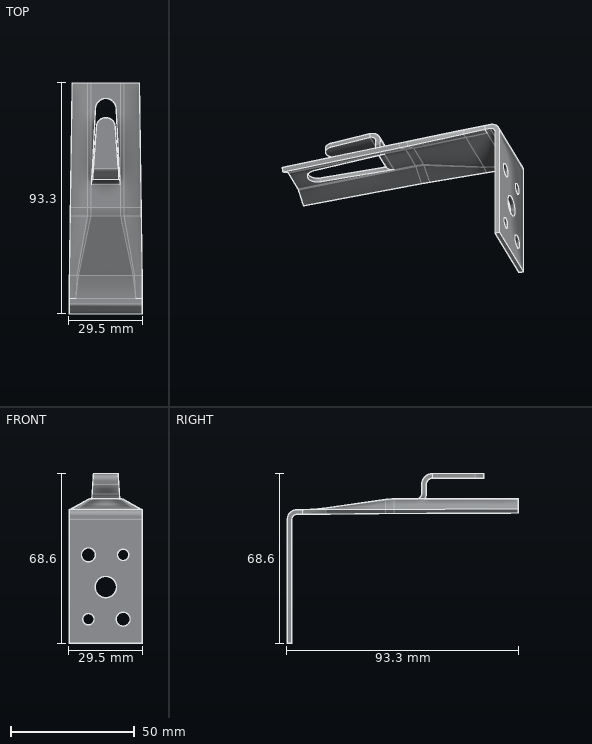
import cadquery as cq
import math

sheet = 2.0
length = 93.3
height = 68.6
width = 29.5

plate_top = 54.0
bend_radius = 4.0
hole_x = 7.0
hole_row_z = 22.8
hole_row_step = 13.0
center_hole = 8.5
large_hole = 5.5
small_hole = 4.5

rib_top = 58.4
end_half_width = 13.6
end_edge_z = 54.2
flat_edge_sag = 0.02
rib_fold_radius = 3.0
rib_corner_half = 6.7
ramp_low_corner_half = 11.3
flat_corner_half = 12.1
flat_start = 6.25
ramp_low = 15.7
ramp_high = 39.65
rib_start = 43.1

tongue_foot = 52.2
tongue_foot_half = 5.7
tongue_tip_radius = 3.8
tongue_tip = 79.3
tongue_head_half = 5.0
slot_end_radius = 4.1
foot_bend_radius = sheet
head_bend_radius = 4.5
slot_end = 86.9


def ramp_height(y):
    """Height of the rib's top: flat, arc, sloping line, arc, flat."""
    slope = (rib_top - plate_top) / ((ramp_high + rib_start) / 2 - (flat_start + ramp_low) / 2)
    half_slope = slope / 2
    if y <= ramp_low:
        return plate_top + half_slope * (y - flat_start) ** 2 / (ramp_low - flat_start)
    if y >= ramp_high:
        return rib_top - half_slope * max(rib_start - y, 0) ** 2 / (rib_start - ramp_high)
    return plate_top + half_slope * (ramp_low - flat_start) + slope * (y - ramp_low)


def edge_position(y):
    """Half width and height of the arm's outer upper edge."""
    widening = min((length - y) / (length - ramp_low), 1)
    half = end_half_width + widening * (width / 2 - end_half_width)
    flat_edge_z = plate_top - flat_edge_sag
    lowering = (length - y) / (length - flat_start)
    return half, end_edge_z + lowering * (flat_edge_z - end_edge_z)


def arm_section(y, corner_half, top):
    """Closed outline across the arm: a flat top with a folded flank on either side."""
    edge_half, edge_z = edge_position(y)
    angle = math.atan2(top - edge_z, edge_half - corner_half)
    setback = rib_fold_radius * math.tan(angle / 2)
    fold_x = corner_half - setback
    fold_z = top - rib_fold_radius

    def skin(side, depth):
        """Edge, then end, middle and start of the fold, on one flank of one face of the sheet."""
        radius = rib_fold_radius - depth
        turns = (angle, angle / 2, 0)
        fold = [(fold_x + radius * math.sin(turn), fold_z + radius * math.cos(turn)) for turn in turns]
        edge = (edge_half - depth * math.sin(angle), edge_z - depth * math.cos(angle))
        return [cq.Vector(side * x, y, z) for x, z in (edge, *fold)]

    def folded_flank(points):
        edge, fold_end, fold_middle, fold_start = points
        flank = cq.Edge.makeLine(edge, fold_end)
        return [flank, cq.Edge.makeThreePointArc(fold_end, fold_middle, fold_start)]

    corners = {(side, depth): skin(side, depth) for side in (-1, 1) for depth in (0, sheet)}
    edges = [edge for points in corners.values() for edge in folded_flank(points)]
    for depth in (0, sheet):
        edges.append(cq.Edge.makeLine(corners[-1, depth][-1], corners[1, depth][-1]))
    for side in (-1, 1):
        edges.append(cq.Edge.makeLine(corners[side, 0][0], corners[side, sheet][0]))
    return cq.Wire.assembleEdges(edges)


def fold_corner(y):
    """Half width where rib top and flank would meet, growing as the rib runs out."""
    if y >= ramp_high:
        return rib_corner_half
    if y >= ramp_low:
        blend = (y - ramp_low) / (ramp_high - ramp_low)
        return ramp_low_corner_half + blend * (rib_corner_half - ramp_low_corner_half)
    blend = (y - flat_start) / (ramp_low - flat_start)
    return flat_corner_half + blend * (ramp_low_corner_half - flat_corner_half)


def make_arm():
    """Ribbed arm: straight rib, sloping run-out, and gentle bends on either side of the slope."""
    low_bend = (flat_start, (flat_start + ramp_low) / 2, ramp_low)
    high_bend = (ramp_high, (ramp_high + rib_start) / 2, rib_start)
    arm = cq.Workplane()
    for stations in (low_bend, (ramp_low, ramp_high), high_bend, (rib_start, length)):
        sections = [arm_section(y, fold_corner(y), ramp_height(y)) for y in stations]
        is_straight = len(stations) == 2
        arm = arm.add(cq.Solid.makeLoft(sections, is_straight))
    return arm.combine()


def make_plate():
    """Upright plate bent over into the flat start of the arm."""
    bend_z = plate_top - bend_radius
    plate = (
        cq.Workplane("YZ")
        .moveTo(0, 0)
        .lineTo(0, bend_z)
        .radiusArc((bend_radius, plate_top), bend_radius)
        .lineTo(flat_start, plate_top)
        .lineTo(flat_start, plate_top - sheet)
        .lineTo(bend_radius, plate_top - sheet)
        .radiusArc((sheet, bend_z), sheet - bend_radius)
        .lineTo(sheet, 0)
        .close()
        .extrude(width / 2, both=True)
    )
    low_row = hole_row_z - hole_row_step
    high_row = hole_row_z + hole_row_step
    holes = (
        (0, hole_row_z, center_hole),
        (-hole_x, high_row, large_hole),
        (hole_x, low_row, large_hole),
        (hole_x, high_row, small_hole),
        (-hole_x, low_row, small_hole),
    )
    for x, z, diameter in holes:
        drill = cq.Workplane("XZ").center(x, z).circle(diameter / 2).extrude(-sheet)
        plate = plate.cut(drill)
    return plate


def rounded_taper(start, start_half, end, end_radius):
    """Plan outline on the middle line, narrowing in +Y to a tangent round end."""
    center_y = end - end_radius
    run = center_y - start
    lean = math.atan2(start_half, run) - math.asin(end_radius / math.hypot(start_half, run))
    touch_x = end_radius * math.cos(lean)
    touch_y = center_y + end_radius * math.sin(lean)
    return (
        cq.Workplane("XY")
        .moveTo(-start_half, start)
        .lineTo(-touch_x, touch_y)
        .threePointArc((0, end), (touch_x, touch_y))
        .lineTo(start_half, start)
        .close()
    )


def make_slot():
    """Cutter for the opening the tongue was bent out of."""
    outline = rounded_taper(tongue_foot, tongue_foot_half, slot_end, slot_end_radius)
    return outline.extrude(height)


def make_tongue():
    """Strip bent up out of the slot and forward again, narrowing towards its tip."""
    back_y = tongue_foot + foot_bend_radius
    foot_bend_z = rib_top + foot_bend_radius
    head_y = back_y + head_bend_radius
    head_z = height - head_bend_radius
    strip = (
        cq.Workplane("YZ")
        .moveTo(tongue_foot, rib_top)
        .radiusArc((back_y, foot_bend_z), -foot_bend_radius)
        .lineTo(back_y, head_z)
        .radiusArc((head_y, height), head_bend_radius)
        .lineTo(tongue_tip, height)
        .lineTo(tongue_tip, height - sheet)
        .lineTo(head_y, height - sheet)
        .radiusArc((back_y + sheet, head_z), sheet - head_bend_radius)
        .lineTo(back_y + sheet, foot_bend_z)
        .radiusArc((tongue_foot, rib_top - sheet), foot_bend_radius + sheet)
        .close()
        .extrude(width / 2, both=True)
    )
    upright = (
        cq.Workplane("XZ", origin=(0, head_y, 0))
        .moveTo(-tongue_foot_half, rib_top - sheet)
        .lineTo(-tongue_foot_half, rib_top)
        .lineTo(-tongue_head_half, height)
        .lineTo(tongue_head_half, height)
        .lineTo(tongue_foot_half, rib_top)
        .lineTo(tongue_foot_half, rib_top - sheet)
        .close()
        .extrude(head_y - tongue_foot)
    )
    finger = rounded_taper(head_y, tongue_head_half, tongue_tip, tongue_tip_radius).extrude(height)
    return strip.intersect(upright.union(finger))


arm = make_arm().cut(make_slot())
result = make_plate().union(arm).union(make_tongue())